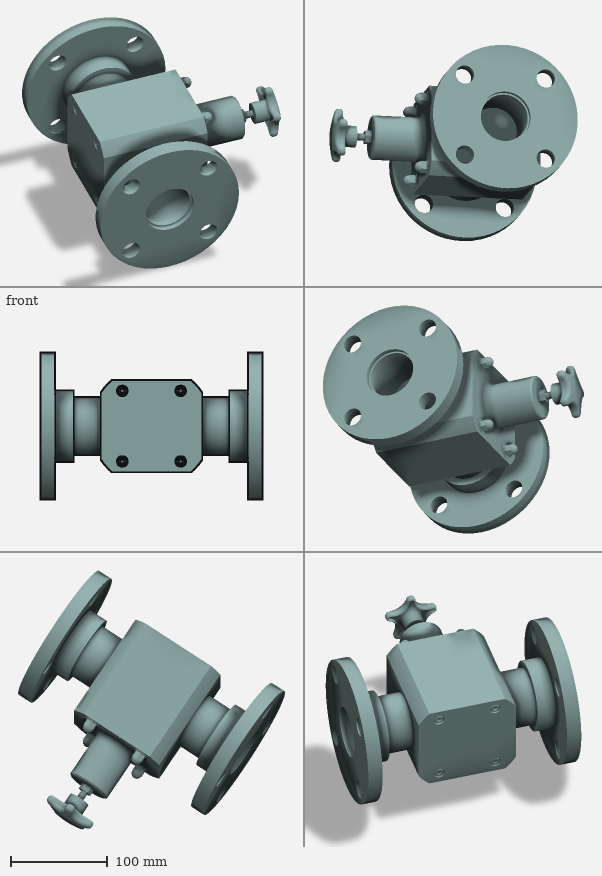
import cadquery as cq
import math


face_to_face = 229.5
overall_depth = 236.3

flange_dia = 152.5
flange_thickness = 15.4
collar_dia = 74.5
collar_length = 19.4
pipe_dia = 60.2
bore_dia = 49.1
bore_recess_dia = 53.0
bore_recess_depth = 5.5
bolt_hole_dia = 19.1
bolt_hole_spacing = 85.0

body_width = 105.0
body_height = 95.5
body_corner_dia = 125.7
body_back = 65.2
body_front = -49.4
screw_spacing_x = 60.2
screw_spacing_z = 72.8

screw_recess_dia = 11.0
screw_recess_depth = 6.1
screw_head_dia = 9.5
screw_head_sink = 0.7
socket_across_flats = 4.5
screw_head_chamfer = 0.7
socket_depth = 2.4
socket_point_depth = 1.2

washer_dia = 15.8
washer_thickness = 0.7
nut_across_flats = 11.0
nut_height = 6.9

bonnet_dia = 45.8
bonnet_end = 118.4
bonnet_chamfer = 1.5
bonnet_root_fillet = 5.7
gland_across_flats = 12.5
gland_end = 125.2
stem_dia = 7.3

hub_dia = 22.2
hub_start = 134.7
hub_fillet = 3.8
wheel_bottom = 148.0
wheel_top = overall_depth - flange_dia / 2
lobe_count = 5
lobe_radius = 4.7
lobe_center_radius = 23.9
valley_radius = 17.2
dome_radius = 85.0
flat_top_dia = 14.6
wheel_wall = 2.0
wheel_pocket_depth = 6.1
wheel_top_fillet = 3.3
wheel_bottom_fillet = 3.3

overlap = 1.2


def plane_facing_back(y):
    """Sketch plane at the given Y with its normal along +Y and local x along +X."""
    return cq.Workplane(cq.Plane(origin=(0, y, 0), xDir=(1, 0, 0), normal=(0, 1, 0)))


def rod(diameter, start, end):
    """Cylinder on the stem axis between two Y positions."""
    return plane_facing_back(start).circle(diameter / 2).extrude(end - start)


def root_flare(diameter, seat, radius):
    """Hollow-arc flare where a cylinder on the stem axis meets a flat seat.

    A positive radius rises toward +Y from the seat, a negative one toward -Y.
    """
    inner = diameter / 2
    outer = inner + abs(radius)
    middle_x = outer - abs(radius) * math.sqrt(0.5)
    middle_y = seat + radius * (1 - math.sqrt(0.5))
    buried_y = seat - math.copysign(overlap, radius)
    return (
        cq.Workplane("XY")
        .moveTo(0, buried_y)
        .lineTo(outer, buried_y)
        .lineTo(outer, seat)
        .threePointArc((middle_x, middle_y), (inner, seat + radius))
        .lineTo(0, seat + radius)
        .close()
        .revolve(360, (0, 0, 0), (0, 1, 0))
    )


def hexagon_points(across_flats, first_angle):
    """Corners of a hexagon, with one corner at first_angle degrees."""
    corner_radius = across_flats / math.sqrt(3)
    angles = [math.radians(first_angle + 60 * i) for i in range(6)]
    return [(corner_radius * math.cos(a), corner_radius * math.sin(a)) for a in angles]


def hex_prism(across_flats, first_angle, start, end):
    """Hexagonal prism on the stem axis between two Y positions."""
    sketch = plane_facing_back(start).polyline(hexagon_points(across_flats, first_angle)).close()
    return sketch.extrude(end - start)


def screw_places():
    """The four (x, z) screw positions."""
    return [(sx * screw_spacing_x / 2, sz * screw_spacing_z / 2) for sx in (-1, 1) for sz in (-1, 1)]


def pipe_end():
    """Flange, collar and pipe on the +X side, reaching the middle of the body."""
    outer_face = face_to_face / 2
    collar_start = outer_face - flange_thickness - collar_length
    end = cq.Workplane("YZ").circle(pipe_dia / 2).extrude(outer_face)
    collar = cq.Workplane("YZ", origin=(collar_start, 0, 0)).circle(collar_dia / 2).extrude(collar_length)
    flange = (
        cq.Workplane("YZ", origin=(outer_face - flange_thickness, 0, 0))
        .circle(flange_dia / 2)
        .extrude(flange_thickness)
        .faces(">X")
        .workplane()
        .rect(bolt_hole_spacing, bolt_hole_spacing, forConstruction=True)
        .vertices()
        .hole(bolt_hole_dia)
    )
    return end.union(collar).union(flange)


def pipe_bore():
    """Blind bore of the +X pipe end, with its shallow recess at the flange face."""
    outer_face = face_to_face / 2
    bore_bottom = body_width / 2
    bore = cq.Workplane("YZ", origin=(bore_bottom, 0, 0)).circle(bore_dia / 2).extrude(outer_face - bore_bottom)
    recess = (
        cq.Workplane("YZ", origin=(outer_face - bore_recess_depth, 0, 0))
        .circle(bore_recess_dia / 2)
        .extrude(bore_recess_depth)
    )
    return bore.union(recess)


def body():
    box = plane_facing_back(body_front).rect(body_width, body_height).extrude(body_back - body_front)
    return box.intersect(rod(body_corner_dia, body_front, body_back))


def cap_screw():
    """Socket screw head on the stem axis, standing on the floor of its recess."""
    head_face = body_front + screw_head_sink
    floor = body_front + screw_recess_depth
    socket_floor = head_face + socket_depth
    point_end = socket_floor + socket_point_depth
    socket = hex_prism(socket_across_flats, 90, head_face, socket_floor)
    point_outline = [(0, socket_floor), (socket_across_flats / 2, socket_floor), (0, point_end)]
    point = (
        cq.Workplane("XY")
        .polyline(point_outline)
        .close()
        .revolve(360, (0, 0, 0), (0, 1, 0))
    )
    head = rod(screw_head_dia, head_face, floor + overlap).faces("<Y").edges().chamfer(screw_head_chamfer)
    return head.cut(socket).cut(point)


def acorn_nut():
    """Washer and domed hexagon nut on the stem axis, standing on the back face."""
    washer_top = body_back + washer_thickness
    dome_base = washer_top + nut_height
    nut_dome_radius = nut_across_flats / 2
    washer = rod(washer_dia, body_back - overlap, washer_top)
    hexagon = hex_prism(nut_across_flats, 90, washer_top, dome_base)
    dome = cq.Workplane("XY").sphere(nut_dome_radius).translate((0, dome_base, 0))
    return washer.union(hexagon).union(dome)


def wheel_star():
    """Outline of the handwheel: round lobes joined by tangent hollow arcs, one lobe toward +Z."""
    half_step = math.pi / lobe_count
    lobe_reach = lobe_center_radius * math.cos(half_step)
    hollow_radius = (
        (valley_radius**2 + lobe_center_radius**2 - lobe_radius**2 - 2 * valley_radius * lobe_reach)
        / (2 * (lobe_reach + lobe_radius - valley_radius))
    )
    hollow_center = valley_radius + hollow_radius
    share = lobe_radius / (lobe_radius + hollow_radius)
    along = lobe_center_radius + share * (hollow_center * math.cos(half_step) - lobe_center_radius)
    across = share * hollow_center * math.sin(half_step)
    tangent_radius = math.hypot(along, across)
    tangent_angle = math.atan2(across, along)
    tip_radius = lobe_center_radius + lobe_radius

    def point(radius, angle):
        return (radius * math.cos(angle), radius * math.sin(angle))

    first_lobe = -math.pi / 2
    sketch = plane_facing_back(wheel_bottom).moveTo(*point(tangent_radius, first_lobe - tangent_angle))
    for i in range(lobe_count):
        lobe = first_lobe + 2 * half_step * i
        valley = lobe + half_step
        next_lobe = valley + half_step
        sketch = sketch.threePointArc(point(tip_radius, lobe), point(tangent_radius, lobe + tangent_angle))
        sketch = sketch.threePointArc(
            point(valley_radius, valley), point(tangent_radius, next_lobe - tangent_angle)
        )
    return sketch.close()


def handwheel():
    dome_center = wheel_top - math.sqrt(dome_radius**2 - (flat_top_dia / 2) ** 2)
    dome_peak = dome_center + dome_radius
    dome = cq.Workplane("XY").sphere(dome_radius).translate((0, dome_center, 0))
    star = wheel_star().extrude(dome_peak + overlap - wheel_bottom).intersect(dome)
    star = star.faces("<Y").edges().fillet(wheel_bottom_fillet)
    star = star.faces(">Y").edges().fillet(wheel_top_fillet)
    star = star.cut(rod(2 * flat_top_dia, wheel_top, dome_peak + overlap))
    pocket = wheel_star().offset2D(-wheel_wall).extrude(wheel_pocket_depth)
    pocket_floor = wheel_bottom + wheel_pocket_depth
    hub = rod(hub_dia, hub_start, pocket_floor + overlap)
    hub_root = root_flare(hub_dia, pocket_floor, -hub_fillet)
    return star.cut(pocket).union(hub).union(hub_root)


def bonnet_and_stem():
    bonnet = rod(bonnet_dia, body_back - overlap, bonnet_end).faces(">Y").edges().chamfer(bonnet_chamfer)
    bonnet_root = root_flare(bonnet_dia, body_back, bonnet_root_fillet)
    gland_nut = hex_prism(gland_across_flats, 0, bonnet_end - overlap, gland_end)
    stem = rod(stem_dia, gland_end - overlap, hub_start + overlap)
    return bonnet.union(bonnet_root).union(gland_nut).union(stem)


result = body().union(bonnet_and_stem()).union(handwheel())

right_end = pipe_end()
right_bore = pipe_bore()
result = result.union(right_end).union(right_end.mirror("YZ"))
result = result.cut(right_bore).cut(right_bore.mirror("YZ"))

for place_x, place_z in screw_places():
    place = (place_x, 0, place_z)
    recess = rod(screw_recess_dia, body_front, body_front + screw_recess_depth)
    result = result.cut(recess.translate(place))
    result = result.union(cap_screw().translate(place))
    result = result.union(acorn_nut().translate(place))